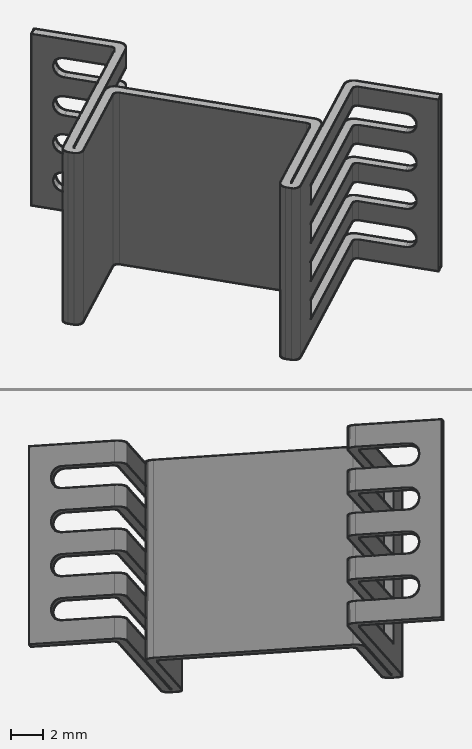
import cadquery as cq

length = 26.2
depth = 12.7
height = 12.7

sheet = 0.63
fold_gap = 0.05
leg_outer_x = 7.65
bridge_drop = 4.8
outer_bend_radius = 0.63
inner_bend_radius = 0.31
fold_radius = 0.47

slot_count = 4
slot_width = height / (2 * slot_count + 1)
slot_pitch = 2 * slot_width
slot_edge_margin = slot_width
slot_depth = 10.03

half_length = length / 2
back_y = depth / 2
front_y = -depth / 2
flange_front_y = back_y - sheet
bridge_back_y = back_y - bridge_drop
bridge_front_y = bridge_back_y - sheet
leg_inner_x = leg_outer_x - sheet
bridge_half_width = leg_inner_x - fold_gap
channel_half_width = bridge_half_width - sheet


def round_upright_edges(solid, half_width, y, radius):
    """Round the two mirrored vertical edges at x = +/-half_width."""
    tolerance = 0.003
    for side in (-1, 1):
        selector = cq.selectors.BoxSelector(
            (side * half_width - tolerance, y - tolerance, -tolerance),
            (side * half_width + tolerance, y + tolerance, tolerance),
        )
        solid = solid.edges("|Z").edges(selector).fillet(radius)
    return solid


def folded_sheet():
    """Hat-shaped strip whose two legs are doubled back around a thin gap."""
    right_half = [
        (channel_half_width, bridge_front_y),
        (channel_half_width, front_y),
        (leg_outer_x, front_y),
        (leg_outer_x, flange_front_y),
        (half_length, flange_front_y),
        (half_length, back_y),
        (leg_inner_x, back_y),
        (leg_inner_x, front_y + sheet),
        (bridge_half_width, front_y + sheet),
        (bridge_half_width, bridge_back_y),
    ]
    left_half = [(-x, y) for x, y in reversed(right_half)]
    body = (
        cq.Workplane("XY")
        .workplane(offset=-height / 2)
        .polyline(right_half + left_half)
        .close()
        .extrude(height)
    )
    bends = [
        (leg_inner_x, back_y, outer_bend_radius),
        (leg_outer_x, flange_front_y, inner_bend_radius),
        (bridge_half_width, bridge_back_y, outer_bend_radius),
        (channel_half_width, bridge_front_y, inner_bend_radius),
        (leg_outer_x, front_y, fold_radius),
        (channel_half_width, front_y, fold_radius),
    ]
    for half_width, y, radius in bends:
        body = round_upright_edges(body, half_width, y, radius)
    return body


def slot_cutter(side, z):
    """Slot through one flange and its outer leg, rounded at the flange end."""
    slot_end_x = half_length - slot_edge_margin
    end_radius = slot_width / 2
    straight_end_x = slot_end_x - end_radius
    cutter = (
        cq.Workplane("XZ", origin=(0, back_y, z))
        .moveTo(leg_inner_x, -end_radius)
        .lineTo(straight_end_x, -end_radius)
        .threePointArc((slot_end_x, 0), (straight_end_x, end_radius))
        .lineTo(leg_inner_x, end_radius)
        .close()
        .extrude(slot_depth)
    )
    return cutter if side > 0 else cutter.mirror("YZ")


result = folded_sheet()
for index in range(slot_count):
    slot_z = (index - (slot_count - 1) / 2) * slot_pitch
    for side in (-1, 1):
        result = result.cut(slot_cutter(side, slot_z))